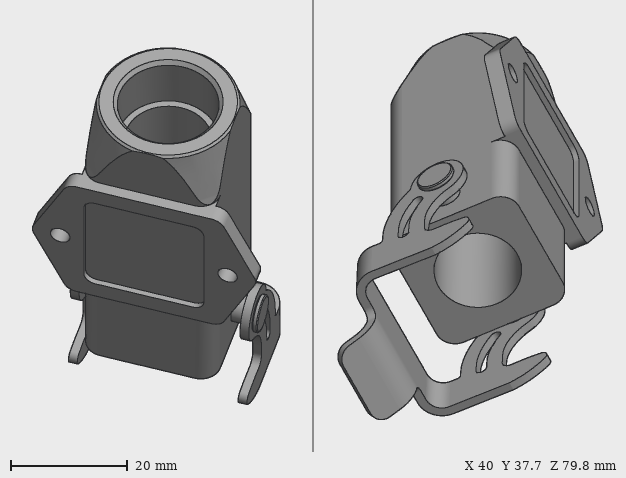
import cadquery as cq
import math


BODY_WIDTH = 24.0
BODY_HEIGHT = 57.2
BODY_CORNER_RADIUS = 3.5
HALF_BODY = BODY_WIDTH / 2

CONE_TOP_RADIUS = 12.2
CONE_HEIGHT = 10.9
CORNER_REACH = (HALF_BODY - BODY_CORNER_RADIUS) * math.sqrt(2) + BODY_CORNER_RADIUS
RIM_CHAMFER = 0.35

ENTRY_RADIUS = 8.7
ENTRY_DEPTH = 10.2
ENTRY_CHAMFER = 0.7
CABLE_RADIUS = 7.5

FLANGE_FACE = 14.0
FLANGE_THICKNESS = 3.0
FLANGE_HEIGHT = 28.0
FLANGE_WIDTH = 40.0
FLANGE_CENTRE_Z = 32.2
FLANGE_ROUND = 2.5
FLANGE_CORNER_X = 12.1
MOUNT_HOLE_SPACING = 30.0
MOUNT_HOLE_DIAMETER = 3.5
POCKET_SIZE = 21.5
POCKET_DEPTH = 1.0
POCKET_CORNER_RADIUS = 2.0

PIN_HEIGHT = 6.45
PIN_RADIUS = 2.45
PIN_ROOT_DEPTH = 1.0
PIN_HEAD_RADIUS = 3.35
PIN_HEAD_THICKNESS = 1.0
PIN_HEAD_CHAMFER = 0.2

LEVER_TILT = 1.6
LEVER_WIDTH = 32.0
SHEET = 1.6
BEND_INNER_RADIUS = 3.0
BEND_OUTER_RADIUS = BEND_INNER_RADIUS + SHEET
LEVER_BACK = 16.46
BEND_START_Y = LEVER_BACK - BEND_OUTER_RADIUS
PLATE_TOP = -13.35
PLATE_BOTTOM = -21.35
HALF_LEVER = LEVER_WIDTH / 2

RING_RADIUS = 5.0
NECK_FILLET = 0.8
ARM_WIDTH = 8.0
ARM_CENTRE_Y = 6.0
ARM_OUTER_Y = ARM_CENTRE_Y + ARM_WIDTH / 2
ARM_INNER_Y = ARM_CENTRE_Y - ARM_WIDTH / 2
ARM_BEND_Z = -11.7
ARM_FOOT_FILLET = 0.6
SLOT_WIDTH = 2.0
SLOT_BOTTOM = -13.3
SLOT_TOP_Z = -4.38

ARM_REACH = RING_RADIUS + ARM_INNER_Y
ARM_ARC_CENTRE_Y = (ARM_REACH**2 - ARM_BEND_Z**2) / (2 * ARM_REACH)
ARM_ARC_RADIUS = ARM_CENTRE_Y - ARM_ARC_CENTRE_Y

HOOK_FILLET = 1.8
HOOK_ROOT_Z = -15.9
HOOK_TOP_MIDDLE = (-1.7, -15.6)
HOOK_TIP_TOP = (-5.3, -15.75)
HOOK_TIP = (-6.55, -16.75)
HOOK_TIP_BOTTOM = (-6.25, -17.85)
HOOK_BELLY = (-2.9, -20.25)
HOOK_BELLY_START_Y = 0.4

TONGUE_WIDTH = 16.0
TONGUE_DROP = 0.5
TONGUE_BEND_RADIUS = 4.6
TONGUE_TURN = 60.0
TONGUE_LENGTH = 4.83
TONGUE_ROOT_FILLET = 1.5
TONGUE_CORNER_RADIUS = 2.7


def make_housing():
    block = (
        cq.Workplane("XY")
        .rect(BODY_WIDTH, BODY_WIDTH)
        .extrude(BODY_HEIGHT)
        .edges("|Z")
        .fillet(BODY_CORNER_RADIUS)
    )
    slope = (CORNER_REACH - CONE_TOP_RADIUS) / CONE_HEIGHT
    envelope = (
        cq.Workplane("XZ")
        .moveTo(0, 0)
        .lineTo(CORNER_REACH, 0)
        .lineTo(CORNER_REACH, BODY_HEIGHT - CONE_HEIGHT)
        .lineTo(CONE_TOP_RADIUS + slope * RIM_CHAMFER, BODY_HEIGHT - RIM_CHAMFER)
        .lineTo(CONE_TOP_RADIUS - RIM_CHAMFER, BODY_HEIGHT)
        .lineTo(0, BODY_HEIGHT)
        .close()
        .revolve(360, (0, 0, 0), (0, 1, 0))
    )
    return block.intersect(envelope)


def make_flange():
    mounting_face = cq.Workplane("XZ", origin=(0, -FLANGE_FACE, FLANGE_CENTRE_Z))
    tip_x = FLANGE_WIDTH / 2 - FLANGE_ROUND
    corner_z = FLANGE_HEIGHT / 2 - FLANGE_ROUND
    round_centres = [
        (tip_x, 0),
        (FLANGE_CORNER_X, corner_z),
        (-FLANGE_CORNER_X, corner_z),
        (-tip_x, 0),
        (-FLANGE_CORNER_X, -corner_z),
        (FLANGE_CORNER_X, -corner_z),
    ]
    plate = (
        mounting_face.polyline(round_centres)
        .close()
        .offset2D(FLANGE_ROUND, "arc")
        .extrude(-FLANGE_THICKNESS)
    )
    carrier = mounting_face.rect(BODY_WIDTH, FLANGE_HEIGHT).extrude(-FLANGE_FACE)
    holes = (
        mounting_face.pushPoints([(-MOUNT_HOLE_SPACING / 2, 0), (MOUNT_HOLE_SPACING / 2, 0)])
        .circle(MOUNT_HOLE_DIAMETER / 2)
        .extrude(-FLANGE_THICKNESS)
    )
    pocket = (
        mounting_face.rect(POCKET_SIZE, POCKET_SIZE)
        .extrude(-POCKET_DEPTH)
        .edges("|Y")
        .fillet(POCKET_CORNER_RADIUS)
    )
    return plate.union(carrier).cut(holes).cut(pocket)


def make_cable_bore():
    through = cq.Workplane("XY").circle(CABLE_RADIUS).extrude(BODY_HEIGHT)
    entry = (
        cq.Workplane("XY", origin=(0, 0, BODY_HEIGHT))
        .circle(ENTRY_RADIUS)
        .extrude(-ENTRY_DEPTH)
    )
    lead_in = cq.Workplane("XY").add(
        cq.Solid.makeCone(
            ENTRY_RADIUS,
            ENTRY_RADIUS + ENTRY_CHAMFER,
            ENTRY_CHAMFER,
            pnt=cq.Vector(0, 0, BODY_HEIGHT - ENTRY_CHAMFER),
        )
    )
    return through.union(entry).union(lead_in)


def make_pin(side):
    """Pin with a flat head outside the lever arm; side is +1 or -1 along X."""
    pin_start = HALF_BODY - PIN_ROOT_DEPTH
    shank = (
        cq.Workplane("YZ", origin=(side * pin_start, 0, PIN_HEIGHT))
        .circle(PIN_RADIUS)
        .extrude(side * (HALF_LEVER - pin_start))
    )
    head = (
        cq.Workplane("YZ", origin=(side * HALF_LEVER, 0, PIN_HEIGHT))
        .circle(PIN_HEAD_RADIUS)
        .extrude(side * PIN_HEAD_THICKNESS)
        .faces("<X or >X")
        .chamfer(PIN_HEAD_CHAMFER)
    )
    return shank.union(head)


def arm_arc_point(radius, angle):
    """Point on a circle around the arm's arc centre, angle in radians from +Y."""
    return (ARM_ARC_CENTRE_Y + radius * math.cos(angle), ARM_BEND_Z + radius * math.sin(angle))


def fillet_edge_near(solid, point, radius):
    return solid.edges(cq.selectors.NearestToPointSelector(point)).fillet(radius)


def make_slot():
    """Curved slot following the arm centreline."""
    half = SLOT_WIDTH / 2
    outer = ARM_ARC_RADIUS + half
    inner = ARM_ARC_RADIUS - half
    top_angle = math.asin((SLOT_TOP_Z - ARM_BEND_Z) / ARM_ARC_RADIUS)
    centre_end_y, centre_end_z = arm_arc_point(ARM_ARC_RADIUS, top_angle)
    end_cap = (
        centre_end_y - half * math.sin(top_angle),
        centre_end_z + half * math.cos(top_angle),
    )
    return (
        cq.Workplane("YZ")
        .moveTo(ARM_CENTRE_Y + half, SLOT_BOTTOM)
        .lineTo(ARM_CENTRE_Y + half, ARM_BEND_Z)
        .threePointArc(arm_arc_point(outer, top_angle / 2), arm_arc_point(outer, top_angle))
        .threePointArc(end_cap, arm_arc_point(inner, top_angle))
        .threePointArc(arm_arc_point(inner, top_angle / 2), (ARM_CENTRE_Y - half, ARM_BEND_Z))
        .lineTo(ARM_CENTRE_Y - half, SLOT_BOTTOM)
        .threePointArc((ARM_CENTRE_Y, SLOT_BOTTOM - half), (ARM_CENTRE_Y + half, SLOT_BOTTOM))
        .close()
        .extrude(SHEET)
    )


def make_cheek():
    """Side of the lever: ring around the pin, curved arm and hook, SHEET thick along +X."""
    outer = ARM_ARC_RADIUS + ARM_WIDTH / 2
    inner = ARM_ARC_RADIUS - ARM_WIDTH / 2
    to_pin_angle = math.atan2(-ARM_BEND_Z, -ARM_ARC_CENTRE_Y)

    pin_distance = math.hypot(ARM_ARC_CENTRE_Y, ARM_BEND_Z)
    crossing_cosine = (pin_distance**2 + outer**2 - RING_RADIUS**2) / (2 * pin_distance * outer)
    neck_angle = to_pin_angle - math.acos(crossing_cosine)
    neck = arm_arc_point(outer, neck_angle)

    arm = (
        cq.Workplane("YZ")
        .moveTo(BEND_START_Y, PLATE_BOTTOM)
        .lineTo(BEND_START_Y, PLATE_TOP)
        .lineTo(ARM_OUTER_Y, PLATE_TOP)
        .lineTo(ARM_OUTER_Y, ARM_BEND_Z)
        .threePointArc(arm_arc_point(outer, neck_angle / 2), neck)
        .lineTo(0, 0)
        .lineTo(*arm_arc_point(inner, to_pin_angle))
        .threePointArc(arm_arc_point(inner, to_pin_angle / 2), (ARM_INNER_Y, ARM_BEND_Z))
        .lineTo(ARM_INNER_Y, HOOK_ROOT_Z)
        .threePointArc(HOOK_TOP_MIDDLE, HOOK_TIP_TOP)
        .threePointArc(HOOK_TIP, HOOK_TIP_BOTTOM)
        .threePointArc(HOOK_BELLY, (HOOK_BELLY_START_Y, PLATE_BOTTOM))
        .close()
        .extrude(SHEET)
    )
    ring = cq.Workplane("YZ").circle(RING_RADIUS).extrude(SHEET)
    cheek = arm.union(ring)
    inside_corners = [
        (neck, NECK_FILLET),
        ((ARM_OUTER_Y, PLATE_TOP), ARM_FOOT_FILLET),
        ((ARM_INNER_Y, HOOK_ROOT_Z), HOOK_FILLET),
    ]
    for (corner_y, corner_z), radius in inside_corners:
        cheek = fillet_edge_near(cheek, (SHEET / 2, corner_y, corner_z), radius)
    return cheek.cut(make_slot())


def make_back_plate():
    """Back of the lever with the two bends that lead into the cheeks."""

    def bent_block(half_width, back_y, radius):
        flat_half = half_width - radius
        arc_middle_x = flat_half + radius * math.sqrt(0.5)
        arc_middle_y = BEND_START_Y + radius * math.sqrt(0.5)
        return (
            cq.Workplane("XY", origin=(0, 0, PLATE_BOTTOM))
            .moveTo(-half_width, BEND_START_Y)
            .threePointArc((-arc_middle_x, arc_middle_y), (-flat_half, back_y))
            .lineTo(flat_half, back_y)
            .threePointArc((arc_middle_x, arc_middle_y), (half_width, BEND_START_Y))
            .close()
            .extrude(PLATE_TOP - PLATE_BOTTOM)
        )

    outside = bent_block(HALF_LEVER, LEVER_BACK, BEND_OUTER_RADIUS)
    inside = bent_block(HALF_LEVER - SHEET, LEVER_BACK - SHEET, BEND_INNER_RADIUS)
    return outside.cut(inside)


def make_tongue():
    """Grip below the back plate, bent outwards, with rounded end corners."""
    turn = math.radians(TONGUE_TURN)
    concave_radius = TONGUE_BEND_RADIUS
    convex_radius = TONGUE_BEND_RADIUS + SHEET
    bend_y = LEVER_BACK + TONGUE_BEND_RADIUS
    bend_z = PLATE_BOTTOM - TONGUE_DROP

    def bend_point(radius, angle, run_out=0.0):
        """Point on the bend, carried on along the straight grip by run_out."""
        return (
            bend_y - radius * math.cos(angle) + run_out * math.sin(angle),
            bend_z - radius * math.sin(angle) - run_out * math.cos(angle),
        )

    tongue = (
        cq.Workplane("YZ")
        .moveTo(LEVER_BACK, PLATE_BOTTOM)
        .lineTo(LEVER_BACK, bend_z)
        .threePointArc(bend_point(concave_radius, turn / 2), bend_point(concave_radius, turn))
        .lineTo(*bend_point(concave_radius, turn, TONGUE_LENGTH))
        .lineTo(*bend_point(convex_radius, turn, TONGUE_LENGTH))
        .lineTo(*bend_point(convex_radius, turn))
        .threePointArc(bend_point(convex_radius, turn / 2), (LEVER_BACK - SHEET, bend_z))
        .lineTo(LEVER_BACK - SHEET, PLATE_BOTTOM)
        .close()
        .extrude(TONGUE_WIDTH / 2, both=True)
    )
    end_y, end_z = bend_point(concave_radius + SHEET / 2, turn, TONGUE_LENGTH)
    for side in (-1, 1):
        end_corner = (side * TONGUE_WIDTH / 2, end_y, end_z)
        tongue = fillet_edge_near(tongue, end_corner, TONGUE_CORNER_RADIUS)
    return tongue


def make_lever():
    right_cheek = make_cheek().translate((HALF_LEVER - SHEET, 0, 0))
    left_cheek = right_cheek.mirror("YZ")
    lever = make_back_plate().union(right_cheek).union(left_cheek).union(make_tongue())
    for side in (-1, 1):
        root = (side * TONGUE_WIDTH / 2, LEVER_BACK - SHEET / 2, PLATE_BOTTOM)
        lever = fillet_edge_near(lever, root, TONGUE_ROOT_FILLET)
    return lever.rotate((0, 0, 0), (1, 0, 0), LEVER_TILT).translate((0, 0, PIN_HEIGHT))


result = make_housing().union(make_flange()).cut(make_cable_bore())
result = result.union(make_lever())
for pin_side in (-1, 1):
    result = result.union(make_pin(pin_side))